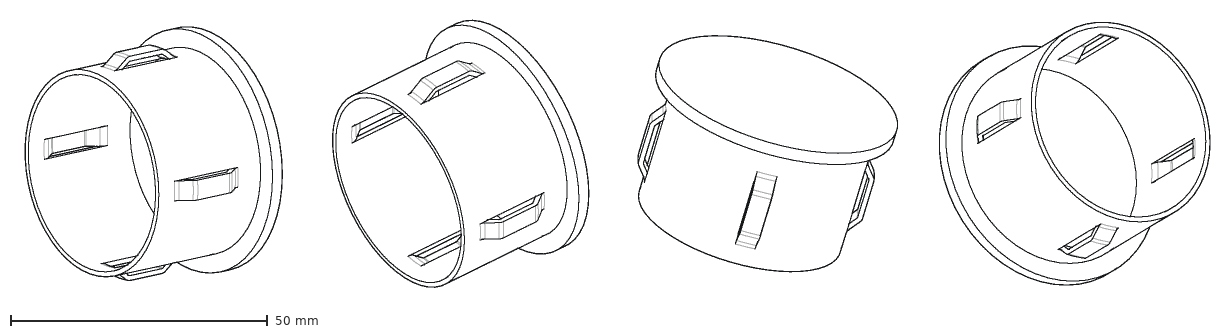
import cadquery as cq
import math

flange_diameter = 48.3
flange_thickness = 2.5
total_length = 28.2
tube_outer_radius = 20.5
wall = 1.0
tube_inner_radius = tube_outer_radius - wall
tube_length = total_length - flange_thickness

clip_count = 4
clip_width = 4.0
clip_end_gap = 4.0
clip_span = 16.0
clip_rise = 2.25
bend_outer_radius = 1.5
bend_inner_radius = bend_outer_radius - wall
ramp_angle = math.asin(0.6)

clip_start_y = -tube_length + clip_end_gap
clip_middle_y = clip_start_y + clip_span / 2
bow_base_radius = tube_inner_radius - wall


def bend_point(center, radius, angle):
    """Point on a bend, with the angle measured from the outward radial direction."""
    radial, y = center
    return (radial + radius * math.cos(angle), y + radius * math.sin(angle))


def bow_block(foot_radius, foot_bend, crest_bend):
    """Block on the +X side whose outer face follows one surface of a clip strip."""
    crest_radius = foot_radius + clip_rise
    bend_rise = (foot_bend + crest_bend) * (1 - math.cos(ramp_angle))
    ramp_length = (clip_rise - bend_rise) / math.sin(ramp_angle)
    ramp_run = (foot_bend + crest_bend) * math.sin(ramp_angle) + ramp_length * math.cos(ramp_angle)
    foot_center = (foot_radius + foot_bend, clip_start_y)
    crest_center = (crest_radius - crest_bend, clip_start_y + ramp_run)

    foot = (foot_radius, clip_start_y)
    foot_mid = bend_point(foot_center, -foot_bend, -ramp_angle / 2)
    ramp_start = bend_point(foot_center, -foot_bend, -ramp_angle)
    ramp_end = bend_point(crest_center, crest_bend, -ramp_angle)
    crest_mid = bend_point(crest_center, crest_bend, -ramp_angle / 2)
    crest = bend_point(crest_center, crest_bend, 0)

    def mirrored(point):
        return (point[0], 2 * clip_middle_y - point[1])

    ring = (
        cq.Workplane("XY")
        .moveTo(bow_base_radius, clip_start_y)
        .lineTo(*foot)
        .threePointArc(foot_mid, ramp_start)
        .lineTo(*ramp_end)
        .threePointArc(crest_mid, crest)
        .lineTo(*mirrored(crest))
        .threePointArc(mirrored(crest_mid), mirrored(ramp_end))
        .lineTo(*mirrored(ramp_start))
        .threePointArc(mirrored(foot_mid), mirrored(foot))
        .lineTo(*mirrored((bow_base_radius, clip_start_y)))
        .close()
        .revolve(360, (0, 0, 0), (0, 1, 0))
    )
    slab = cq.Workplane("XY").box(
        flange_diameter, 2 * total_length, clip_width, centered=(False, True, True)
    )
    return ring.intersect(slab)


def make_cap():
    """Flange disc with the open tube on its -Y face."""
    flange = cq.Workplane("XZ").circle(flange_diameter / 2).extrude(-flange_thickness)
    tube = cq.Workplane("XZ").circle(tube_outer_radius).circle(tube_inner_radius).extrude(tube_length)
    return flange.union(tube)


def add_clips(body):
    """Raise each strip out of the wall, then open the space beneath it."""
    outer_block = bow_block(tube_outer_radius, bend_outer_radius, bend_outer_radius)
    inner_block = bow_block(tube_inner_radius, bend_outer_radius + wall, bend_inner_radius)
    strip = outer_block.cut(inner_block)
    for index in range(clip_count):
        angle = index * 360 / clip_count
        body = body.cut(outer_block.rotate((0, 0, 0), (0, 1, 0), angle))
        body = body.union(strip.rotate((0, 0, 0), (0, 1, 0), angle))
    return body


result = add_clips(make_cap())